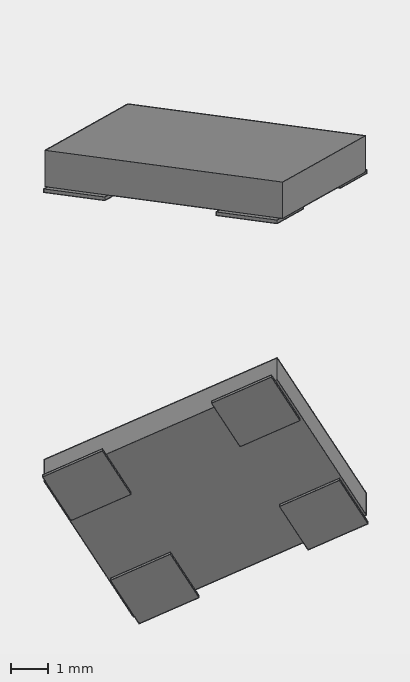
import cadquery as cq

housing_length = 7.0
housing_width = 5.0
housing_height = 1.0

overall_width = 5.41
pad_length = 1.8
pad_width = 1.6
pad_thickness = 0.1
pad_end_inset = 0.06

pad_center_x = housing_length / 2 - pad_end_inset - pad_length / 2
pad_center_y = overall_width / 2 - pad_width / 2


def make_housing():
    """Block resting on top of the pads."""
    return (
        cq.Workplane("XY")
        .workplane(offset=pad_thickness)
        .rect(housing_length, housing_width)
        .extrude(housing_height)
    )


def make_pad(x, y):
    """Flat terminal pad centred at (x, y), with its underside at Z = 0."""
    return (
        cq.Workplane("XY")
        .center(x, y)
        .rect(pad_length, pad_width)
        .extrude(pad_thickness)
    )


housing = make_housing()

pads = []
for side_x in (-1, 1):
    for side_y in (-1, 1):
        pad = make_pad(side_x * pad_center_x, side_y * pad_center_y)
        pads.append(pad.val())

result = cq.Compound.makeCompound([housing.val(), *pads])